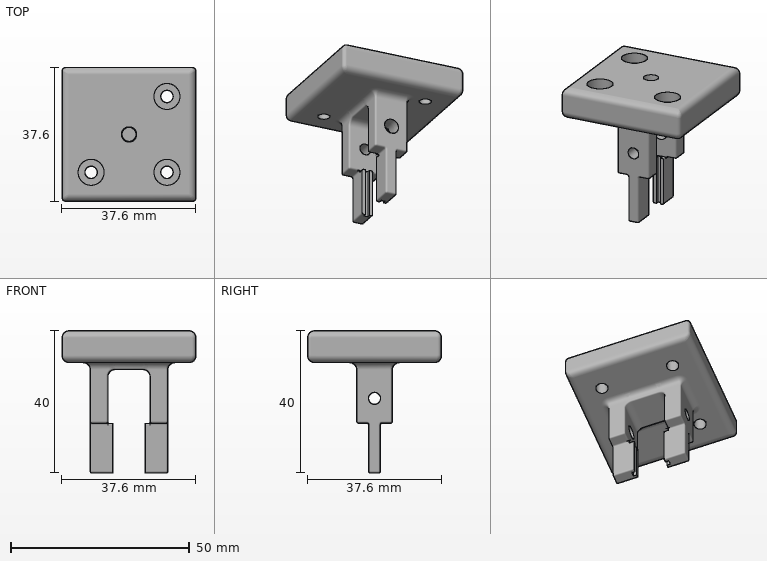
import cadquery as cq

PLATE_SIDE = 37.6
PLATE_THICKNESS = 9.0
TOTAL_HEIGHT = 40.0
PLATE_FACE_FILLET = 2.0
PLATE_CORNER_FILLET = 1.0
PLATE_BOTTOM_Z = TOTAL_HEIGHT - PLATE_THICKNESS

MOUNT_OFFSET = 10.65
MOUNT_CORNERS = [(-1, -1), (1, -1), (1, 1)]
MOUNT_HOLE_DIAMETER = 3.4
MOUNT_BORE_DIAMETER = 7.3
MOUNT_BORE_DEPTH = 3.1

INSERT_MOUTH_DIAMETER = 4.3
INSERT_BORE_DIAMETER = 3.9
INSERT_TAPER_DEPTH = 2.0
PLATE_INSERT_DEPTH = 5.0

LEGS_WIDTH = 21.8
LEG_DEPTH = 10.0
LEG_BOTTOM_Z = 14.0
LEG_ROOT_FILLET = 2.0
WEB_THICKNESS = 1.95
GAP_WIDTH = 11.8
LEG_THICKNESS = (LEGS_WIDTH - GAP_WIDTH) / 2
GAP_TOP_Z = PLATE_BOTTOM_Z - WEB_THICKNESS
GAP_CORNER_FILLET = 2.0
EDGE_FILLET = 0.5

CROSS_HOLE_Z = 21.0
CROSS_HOLE_DIAMETER = 3.3

BLADE_DEPTH = 3.3
BLADE_GAP = 9.1
BLADE_SLOT_WIDTH = 1.2
BLADE_SLOT_DEPTH = 1.0

POINT_REACH = (0.2, 0.2, 0.2)


def make_plate():
    """Cap plate with rounded rims, then softened corners that run over the rims."""
    plate = (
        cq.Workplane("XY")
        .workplane(offset=PLATE_BOTTOM_Z)
        .rect(PLATE_SIDE, PLATE_SIDE)
        .extrude(PLATE_THICKNESS)
    )
    plate = plate.faces("<Z or >Z").edges().fillet(PLATE_FACE_FILLET)
    return plate.edges("|Z").fillet(PLATE_CORNER_FILLET)


def edges_near(body, center, reach):
    """Edges of the body whose centers lie within reach of a point along each axis."""
    low = tuple(c - r for c, r in zip(center, reach))
    high = tuple(c + r for c, r in zip(center, reach))
    return body.edges(cq.selectors.BoxSelector(low, high))


def make_leg_block():
    """Solid block for both legs and blades, with every outer edge rounded."""
    legs = cq.Workplane("XY").rect(LEGS_WIDTH, LEG_DEPTH).extrude(PLATE_BOTTOM_Z - LEG_BOTTOM_Z)
    legs = legs.translate((0, 0, LEG_BOTTOM_Z))
    blades = cq.Workplane("XY").rect(LEGS_WIDTH, BLADE_DEPTH).extrude(LEG_BOTTOM_Z)
    block = legs.union(blades)
    for side in (-1, 1):
        shoulder_corner = (0, side * BLADE_DEPTH / 2, LEG_BOTTOM_Z)
        block = edges_near(block, shoulder_corner, POINT_REACH).fillet(EDGE_FILLET)
    return block.faces("<X or >X or <Z or (<Y or >Y)").edges("not >Z").fillet(EDGE_FILLET)


def cut_gap(block):
    """Separate the two legs and round the rims left by the cut, then clear the space below."""
    leg_gap = cq.Workplane("XY").rect(GAP_WIDTH, LEG_DEPTH).extrude(GAP_TOP_Z - LEG_BOTTOM_Z)
    leg_gap = leg_gap.edges("|Y and >Z").fillet(GAP_CORNER_FILLET)
    block = block.cut(leg_gap.translate((0, 0, LEG_BOTTOM_Z)))

    rim_center_z = (GAP_TOP_Z + LEG_BOTTOM_Z) / 2
    margin = EDGE_FILLET / 2
    rim_reach = (GAP_WIDTH / 2 + margin, margin, GAP_TOP_Z - rim_center_z + margin)
    for side in (-1, 1):
        rim_center = (0, side * LEG_DEPTH / 2, rim_center_z)
        block = edges_near(block, rim_center, rim_reach).fillet(EDGE_FILLET)

    space_below = cq.Workplane("XY").rect(GAP_WIDTH, LEG_DEPTH).extrude(LEG_BOTTOM_Z)
    return block.cut(space_below)


def add_blade_tabs(block):
    """Extend each blade inward past its leg, with the long edges of the extension rounded."""
    tab_length = (GAP_WIDTH - BLADE_GAP) / 2 + LEG_THICKNESS / 2
    tab_x = (BLADE_GAP + tab_length) / 2
    for side in (-1, 1):
        tab = cq.Workplane("XY").rect(tab_length, BLADE_DEPTH).extrude(LEG_BOTTOM_Z)
        tab = tab.edges("|X").fillet(EDGE_FILLET)
        block = block.union(tab.translate((side * tab_x, 0, 0)))
    return block


def add_root_fillet(body):
    """Blend the legs into the underside of the plate."""
    reach = (LEGS_WIDTH / 2 + EDGE_FILLET, LEG_DEPTH / 2 + EDGE_FILLET, EDGE_FILLET / 2)
    return edges_near(body, (0, 0, PLATE_BOTTOM_Z), reach).fillet(LEG_ROOT_FILLET)


def cut_mount_holes(body):
    """Counterbored through holes in the plate."""
    centers = [(x * MOUNT_OFFSET, y * MOUNT_OFFSET) for x, y in MOUNT_CORNERS]
    return (
        body.faces(">Z")
        .workplane(origin=(0, 0, TOTAL_HEIGHT))
        .pushPoints(centers)
        .cboreHole(MOUNT_HOLE_DIAMETER, MOUNT_BORE_DIAMETER, MOUNT_BORE_DEPTH, PLATE_THICKNESS)
    )


def insert_pocket(start, direction, depth):
    """Cutter for a threaded insert, from its mouth at start along direction."""
    mouth = cq.Solid.makeCone(
        INSERT_MOUTH_DIAMETER / 2, INSERT_BORE_DIAMETER / 2, INSERT_TAPER_DEPTH, start, direction
    )
    bore = cq.Solid.makeCylinder(INSERT_BORE_DIAMETER / 2, depth, start, direction)
    return mouth.fuse(bore)


def cut_plate_insert(body):
    """Insert pocket in the middle of the plate's top face."""
    top_center = cq.Vector(0, 0, TOTAL_HEIGHT)
    downward = cq.Vector(0, 0, -1)
    return body.cut(insert_pocket(top_center, downward, PLATE_INSERT_DEPTH))


def cut_cross_hole(body):
    """Screw passage along X through both legs."""
    along_x = cq.Vector(1, 0, 0)
    outer_face = cq.Vector(-LEGS_WIDTH / 2, 0, CROSS_HOLE_Z)
    clearance = cq.Solid.makeCylinder(CROSS_HOLE_DIAMETER / 2, LEGS_WIDTH, outer_face, along_x)
    return body.cut(insert_pocket(outer_face, along_x, LEG_THICKNESS)).cut(clearance)


def cut_blade_slots(body):
    """Vertical slot along the inner face of each blade."""
    slot_span = BLADE_GAP + 2 * BLADE_SLOT_DEPTH
    slots = cq.Workplane("XY").rect(slot_span, BLADE_SLOT_WIDTH).extrude(LEG_BOTTOM_Z)
    return body.cut(slots)


legs = make_leg_block()
legs = cut_gap(legs)
legs = add_blade_tabs(legs)

result = make_plate().union(legs)
result = add_root_fillet(result)
result = cut_mount_holes(result)
result = cut_plate_insert(result)
result = cut_cross_hole(result)
result = cut_blade_slots(result)